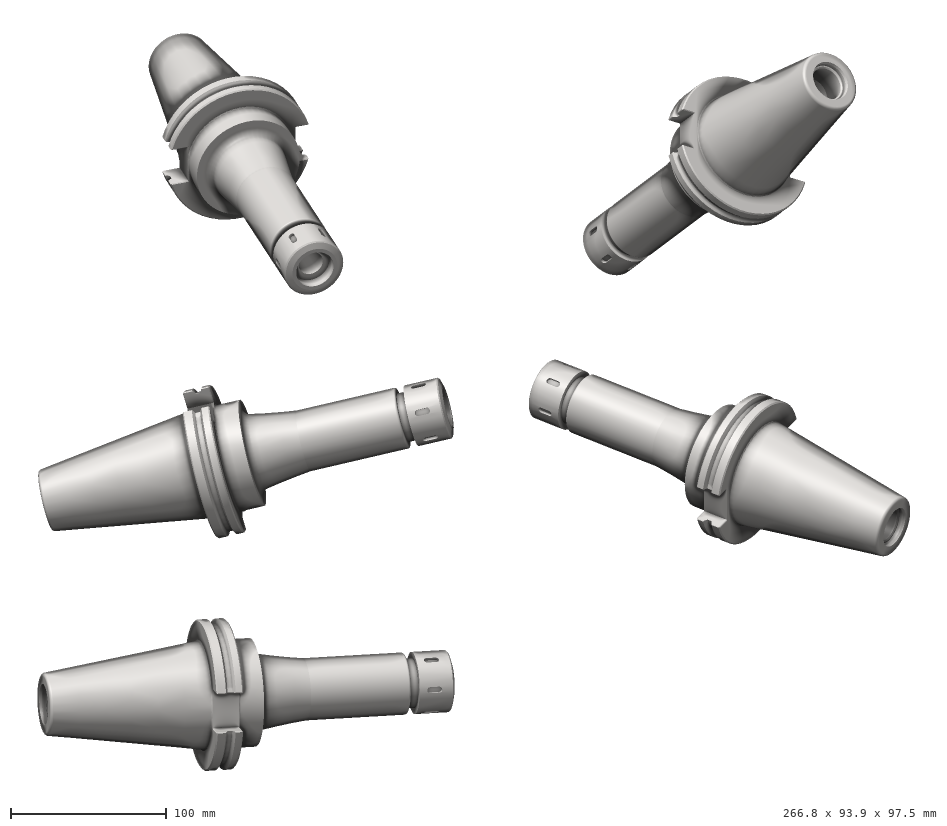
import cadquery as cq
import math

total_length = 266.8
gauge_x = 101.6
flange_start_x = 103.2
flange_end_x = 120.8
collar_end_x = 137.0
shank_start_x = 171.3
shank_end_x = 237.2
neck_end_x = 258.8
nut_start_x = 242.8

gauge_d = 70.0
taper_rate = 7 / 24
tip_round = 2.1

collar_d = gauge_d
flange_d = 97.5
flange_chamfer = 0.8
flange_root_fillet = 0.8
groove_bottom_d = 91.8
groove_start_x = 109.5
groove_end_x = 115.8
groove_wall_run = 1.5

notch_width = 25.5
front_notch_floor = 35.0
back_notch_floor = 37.5
notch_chamfer = 0.5

shank_d = 40.0
shank_end_round = 1.3
flare_radius = 400.2
flare_end_angle = math.radians(6.5)
flare_root_radius = 4.5
neck_d = 32.0

bore_d = 16.3
drawbar_bore_d = 22.0
drawbar_bore_chamfer = 0.8
counterbore_d = 25.0
counterbore_mouth_d = 26.5
counterbore_mouth_depth = 1.5
counterbore_depth = 4.3
drawbar_bore_end_x = 21.3

nut_d = 40.0
nut_chamfer = 0.8
nut_cone_start_x = 265.5
nut_face_d = 30.5
nut_opening_d = 25.3

slot_count = 6
slot_center_x = 252.5
slot_length = 10.0
slot_width = 4.0
slot_depth = 2.1


def revolve_about_x(profile):
    """Revolve a closed outline, drawn as (x, radius), about the tool axis."""
    return profile.close().revolve(360, (0, 0, 0), (1, 0, 0))


def taper_radius(x):
    """Radius of the taper at a station; it reaches the gauge diameter at gauge_x."""
    return (gauge_d - taper_rate * (gauge_x - x)) / 2


def make_holder_blank():
    """Outside of the holder: taper, flange, collar, flare, shank and neck."""
    shank_r = shank_d / 2
    collar_r = collar_d / 2
    taper_end_x = flange_start_x - flange_root_fillet
    taper_end_r = taper_radius(taper_end_x)
    flange_r = flange_d / 2
    groove_r = groove_bottom_d / 2

    flare_center_x = shank_start_x + flare_radius * math.sin(flare_end_angle)
    flare_center_r = shank_r + flare_radius * math.cos(flare_end_angle)

    root_center_x = collar_end_x + flare_root_radius
    junction_angle = math.asin((flare_center_x - root_center_x) / (flare_radius - flare_root_radius))

    def flare_point(angle):
        """Point on the flare arc whose tangent leans by this angle to the axis."""
        return (
            flare_center_x - flare_radius * math.sin(angle),
            flare_center_r - flare_radius * math.cos(angle),
        )

    root_center_r = flare_center_r - (flare_radius - flare_root_radius) * math.cos(junction_angle)
    root_mid_angle = (junction_angle + math.pi / 2) / 2
    root_mid = (
        root_center_x - flare_root_radius * math.sin(root_mid_angle),
        root_center_r - flare_root_radius * math.cos(root_mid_angle),
    )

    profile = (
        cq.Workplane("XY")
        .moveTo(0, 0)
        .lineTo(0, taper_radius(0))
        .lineTo(taper_end_x, taper_end_r)
        .radiusArc((flange_start_x, taper_end_r + flange_root_fillet), -flange_root_fillet)
        .lineTo(flange_start_x, flange_r - flange_chamfer)
        .lineTo(flange_start_x + flange_chamfer, flange_r)
        .lineTo(groove_start_x, flange_r)
        .lineTo(groove_start_x + groove_wall_run, groove_r)
        .lineTo(groove_end_x - groove_wall_run, groove_r)
        .lineTo(groove_end_x, flange_r)
        .lineTo(flange_end_x - flange_chamfer, flange_r)
        .lineTo(flange_end_x, flange_r - flange_chamfer)
        .lineTo(flange_end_x, collar_r + flange_root_fillet)
        .radiusArc((flange_end_x + flange_root_fillet, collar_r), -flange_root_fillet)
        .lineTo(collar_end_x, collar_r)
        .lineTo(collar_end_x, root_center_r)
        .threePointArc(root_mid, flare_point(junction_angle))
        .threePointArc(flare_point((junction_angle + flare_end_angle) / 2), (shank_start_x, shank_r))
        .lineTo(shank_end_x - shank_end_round, shank_r)
        .radiusArc((shank_end_x, shank_r - shank_end_round), shank_end_round)
        .lineTo(shank_end_x, neck_d / 2)
        .lineTo(neck_end_x, neck_d / 2)
        .lineTo(neck_end_x, 0)
    )
    return revolve_about_x(profile).faces("<X").edges().fillet(tip_round)


def make_holder_bore():
    """Through bore, opened at the taper end to a drawbar bore and a chamfered counterbore."""
    cone_length = (drawbar_bore_d - bore_d) / 2
    profile = (
        cq.Workplane("XY")
        .moveTo(0, 0)
        .lineTo(0, counterbore_mouth_d / 2)
        .lineTo(counterbore_mouth_depth, counterbore_d / 2)
        .lineTo(counterbore_depth, counterbore_d / 2)
        .lineTo(counterbore_depth, drawbar_bore_d / 2 + drawbar_bore_chamfer)
        .lineTo(counterbore_depth + drawbar_bore_chamfer, drawbar_bore_d / 2)
        .lineTo(drawbar_bore_end_x, drawbar_bore_d / 2)
        .lineTo(drawbar_bore_end_x + cone_length, bore_d / 2)
        .lineTo(neck_end_x, bore_d / 2)
        .lineTo(neck_end_x, 0)
    )
    return revolve_about_x(profile)


def make_notch(floor_distance, side):
    """Cutter for a notch across the flange, with chamfered mouth edges; side is -1 for -Y, +1 for +Y."""
    half_width = notch_width / 2
    wide_half = half_width + notch_chamfer
    rim_y = math.sqrt((flange_d / 2) ** 2 - half_width**2)
    outer_y = flange_d / 2 + notch_chamfer
    flare_half = half_width + outer_y - (rim_y - notch_chamfer)

    rim_profile = [
        (floor_distance, -half_width),
        (rim_y - notch_chamfer, -half_width),
        (outer_y, -flare_half),
        (outer_y, flare_half),
        (rim_y - notch_chamfer, half_width),
        (floor_distance, half_width),
    ]
    face_profile = [
        (flange_start_x, -wide_half),
        (flange_start_x + notch_chamfer, -half_width),
        (flange_end_x - notch_chamfer, -half_width),
        (flange_end_x, -wide_half),
        (flange_end_x, wide_half),
        (flange_end_x - notch_chamfer, half_width),
        (flange_start_x + notch_chamfer, half_width),
        (flange_start_x, wide_half),
    ]
    rim_cut = (
        cq.Workplane("YZ", origin=(flange_start_x, 0, 0))
        .polyline([(side * y, z) for y, z in rim_profile])
        .close()
        .extrude(flange_end_x - flange_start_x)
    )
    face_cut = (
        cq.Workplane("XZ", origin=(0, side * floor_distance, 0))
        .polyline(face_profile)
        .close()
        .extrude(-side * (outer_y - floor_distance))
    )
    return rim_cut.union(face_cut)


def make_holder():
    return (
        make_holder_blank()
        .cut(make_holder_bore())
        .cut(make_notch(front_notch_floor, -1))
        .cut(make_notch(back_notch_floor, 1))
    )


def make_nut_blank():
    """Ring that seats on the holder neck, with an open conical front end."""
    nut_r = nut_d / 2
    profile = (
        cq.Workplane("XY")
        .moveTo(nut_start_x, neck_d / 2)
        .lineTo(nut_start_x, nut_r)
        .lineTo(nut_cone_start_x - nut_chamfer, nut_r)
        .lineTo(nut_cone_start_x, nut_r - nut_chamfer)
        .lineTo(total_length, nut_face_d / 2)
        .lineTo(total_length, nut_opening_d / 2)
        .lineTo(neck_end_x, nut_opening_d / 2)
        .lineTo(neck_end_x, neck_d / 2)
    )
    return revolve_about_x(profile)


def make_wrench_slot(angle):
    """Cutter for one round-ended slot, turned about the tool axis from -Y."""
    return (
        cq.Workplane("XZ", origin=(slot_center_x, 0, 0))
        .workplane(offset=nut_d / 2 - slot_depth)
        .slot2D(slot_length, slot_width)
        .extrude(2 * slot_depth)
        .rotate((0, 0, 0), (1, 0, 0), angle)
    )


def make_nut():
    nut = make_nut_blank()
    for index in range(slot_count):
        nut = nut.cut(make_wrench_slot(index * 360 / slot_count))
    return nut


holder = make_holder()
nut = make_nut()
result = cq.Compound.makeCompound([holder.val(), nut.val()])